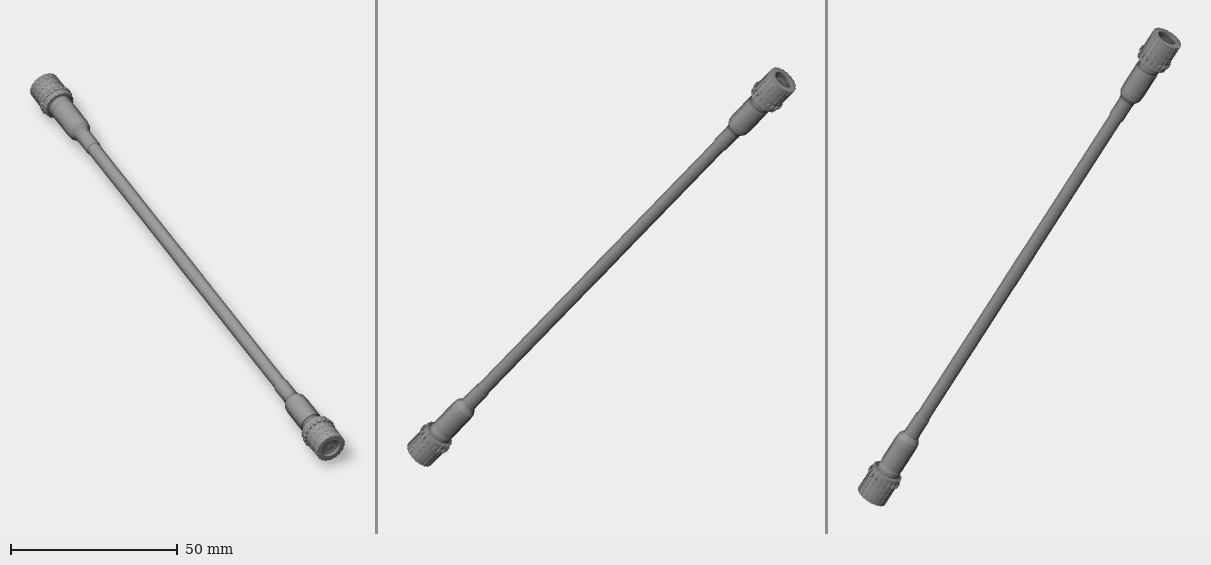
import cadquery as cq

total_length = 180.4
half_length = total_length / 2

cable_radius = 4.1 / 2
band_radius = cable_radius + 0.05
band_length = 12.6

nut_core_radius = 9.2 / 2
collar_radius = 3.6
collar_end = 11.2
neck_radius = 3.2
nut_length = 12.3

tooth_count = 18
tooth_width = 0.9
tooth_tip_radius = nut_core_radius + 0.2
band_pitch = 2.2
band_gap = 0.5
front_band_count = 3
flange_start = front_band_count * band_pitch + band_gap
flange_width = 1.0
flange_end = flange_start + flange_width
flange_tip_radius = 10.5 / 2
knurl_end = flange_end + band_pitch - band_gap

bore_radius = 3.0
bore_depth = 8.1

contact_shell_radius = 2.9
contact_shell_bore = 2.5
contact_shell_start = 1.0
contact_shell_floor = 5.5
insulator_radius = 2.0
insulator_start = 1.0
contact_hole_radius = 0.4
contact_hole_depth = 3.6

barrel_radius = 3.6
barrel_end = 21.0
taper_radius = 3.5
taper_end = 22.5
shoulder_end = 24.2
sleeve_start = 25.3
sleeve_radius = 2.3
sleeve_end = 31.2
sleeve_collar_radius = sleeve_radius + 0.09


def revolved(profile):
    """Solid of revolution about X of a closed (x, radius) profile."""
    return cq.Workplane("XY").polyline(profile).close().revolve(360, (0, 0, 0), (1, 0, 0))


def disc(start, end, radius):
    """Cylinder along X."""
    return cq.Workplane("YZ").workplane(offset=start).circle(radius).extrude(end - start)


def tooth_ring(start, end, tip_radius):
    """Star of equally spaced teeth whose tips lie on one cylinder about X."""
    length = end - start
    bar = (
        cq.Workplane("XY")
        .box(length, tooth_width, 2 * tip_radius, centered=(False, True, True))
        .translate((start, 0, 0))
    )
    star = bar
    for i in range(1, tooth_count // 2):
        star = star.union(bar.rotate((0, 0, 0), (1, 0, 0), i * 360 / tooth_count))
    return star.intersect(disc(start, end, tip_radius))


def make_nut():
    """Knurled coupling nut with its open end at x = 0."""
    nut = revolved([
        (0, 0),
        (0, nut_core_radius),
        (knurl_end, nut_core_radius),
        (knurl_end, collar_radius),
        (collar_end, collar_radius),
        (nut_length, neck_radius),
        (nut_length, 0),
    ])

    for i in range(front_band_count):
        band_start = i * band_pitch + band_gap if i > 0 else 0
        nut = nut.union(tooth_ring(band_start, (i + 1) * band_pitch, tooth_tip_radius))
    nut = nut.union(tooth_ring(flange_start, flange_end, flange_tip_radius))
    nut = nut.union(tooth_ring(flange_end, knurl_end, tooth_tip_radius))

    nut = nut.cut(disc(0, bore_depth, bore_radius))
    return nut.cut(disc(bore_depth, nut_length, contact_shell_radius))


def make_body():
    """Connector body behind the nut, with its contact shell reaching into the nut."""
    body = revolved([
        (contact_shell_start, contact_shell_bore),
        (contact_shell_start, contact_shell_radius),
        (nut_length, contact_shell_radius),
        (nut_length, barrel_radius),
        (barrel_end, barrel_radius),
        (taper_end, taper_radius),
        (shoulder_end, sleeve_collar_radius),
        (sleeve_start, sleeve_collar_radius),
        (sleeve_start, sleeve_radius),
        (sleeve_end, sleeve_radius),
        (sleeve_end, cable_radius),
        (sleeve_start, cable_radius),
        (sleeve_start, 0),
        (insulator_start, 0),
        (insulator_start, insulator_radius),
        (contact_shell_floor, insulator_radius),
        (contact_shell_floor, contact_shell_bore),
    ])
    contact_hole_end = insulator_start + contact_hole_depth
    return body.cut(disc(insulator_start, contact_hole_end, contact_hole_radius))


def make_cable():
    """Cable seated in both sleeves, with a slightly raised band at its middle."""
    cable_end = half_length - sleeve_start
    cable = disc(-cable_end, cable_end, cable_radius)
    return cable.union(disc(-band_length / 2, band_length / 2, band_radius))


def at_both_ends(part):
    """The part's solid at the -X end and its mirror image at the +X end."""
    left = part.translate((-half_length, 0, 0)).val()
    return [left, left.mirror("YZ")]


nuts = at_both_ends(make_nut())
bodies = at_both_ends(make_body())
cable = make_cable()

result = cq.Compound.makeCompound([*nuts, *bodies, cable.val()])